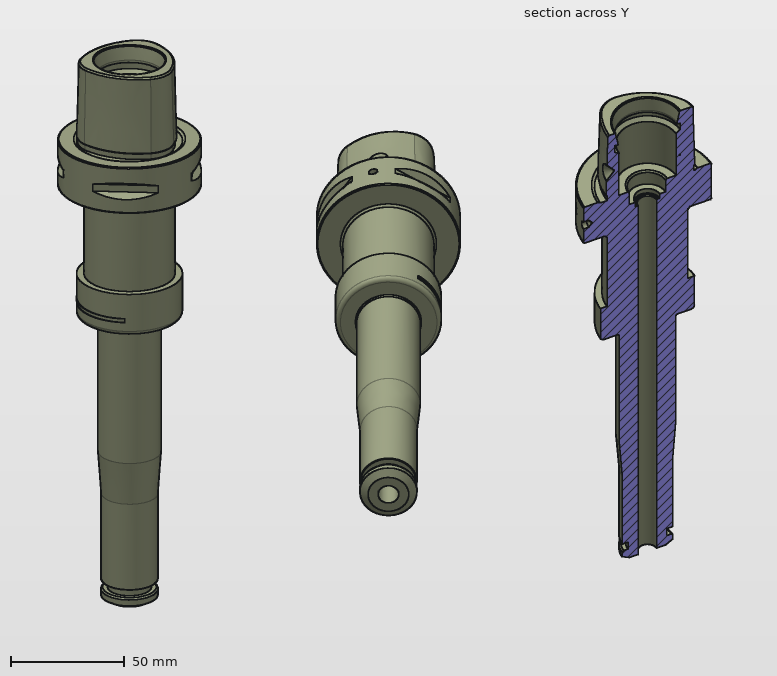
import cadquery as cq
import math

total_length = 258.5
coupling_length = 38.0
flange_thickness = 22.0
flange_top = total_length - coupling_length
flange_bottom = flange_top - flange_thickness
flange_middle = (flange_top + flange_bottom) / 2
collar_top = 156.1
collar_bottom = 136.5
taper_top = 71.0
taper_bottom = 51.0
groove_top = 9.5
groove_bottom = 5.7

flange_diameter = 63.0
neck_diameter = 40.0
collar_diameter = 46.5
shaft_diameter = 28.0
pilot_diameter = 25.0
groove_diameter = 19.5
tip_diameter = 17.8

flange_chamfer = 0.5
shoulder_size = 1.0
collar_fillet = 2.0
collar_boss_diameter = 29.0
collar_boss_height = 0.8
pilot_chamfer = 0.3
bead_chamfer = 0.8
tip_chamfer_height = 2.0

coupling_width = 44.0
lobe_offset = 1.47
flank_radius = 30.8
coupling_slope = 1 / 40
coupling_taper = math.degrees(math.atan(coupling_slope))
coupling_chamfer = 0.8
relief_height = 2.3
relief_depth = 0.5
relief_bevel_angle = 45
seat_outer_diameter = 49.0
seat_inner_diameter = 46.5
seat_depth = 0.8

mouth_diameter = 32.3
mouth_chamfer = 0.5
lead_in_diameter = 31.3
lip_diameter = 29.0
lip_top_depth = 6.5
lip_bottom_depth = 7.8
undercut_diameter = 32.0
undercut_bottom_depth = 11.5
ledge_depth = 13.0
middle_bore_diameter = 28.0
seat_bore_diameter = 19.5
lower_bore_diameter = 17.8
lower_bore_depth = 7.8
coolant_mouth_diameter = 12.0
coolant_step_diameter = 10.0
coolant_step_depth = 2.5
coolant_diameter = 9.0

gripper_middle = 209.0
gripper_length = 28.7
gripper_floor_height = 3.4
gripper_mouth_height = 7.8
gripper_count = 4

dimple_diameter = 9.0
dimple_height = 236.3
flange_hole_diameter = 4.0
flange_hole_depth = 2.5
drill_half_angle = 50.0

recess_angle = 87.0
recess_height = 1.8
recess_depth = 0.3
recess_middle = 143.5


def turned_body():
    """Flange, neck, collar, shaft, taper and grooved tip as one revolved profile."""
    flange_r = flange_diameter / 2
    neck_r = neck_diameter / 2
    collar_r = collar_diameter / 2
    boss_r = collar_boss_diameter / 2
    shaft_r = shaft_diameter / 2
    pilot_r = pilot_diameter / 2
    groove_r = groove_diameter / 2
    fillet_mid = collar_fillet * (1 - math.sqrt(0.5))
    profile = (
        cq.Workplane("XZ")
        .lineTo(tip_diameter / 2, 0)
        .lineTo(pilot_r, tip_chamfer_height)
        .lineTo(pilot_r, groove_bottom - bead_chamfer)
        .lineTo(pilot_r - bead_chamfer, groove_bottom)
        .lineTo(groove_r, groove_bottom)
        .lineTo(groove_r, groove_top)
        .lineTo(pilot_r - pilot_chamfer, groove_top)
        .lineTo(pilot_r, groove_top + pilot_chamfer)
        .lineTo(pilot_r, taper_bottom)
        .lineTo(shaft_r, taper_top)
        .lineTo(shaft_r, collar_bottom - collar_boss_height)
        .lineTo(boss_r, collar_bottom)
        .lineTo(collar_r - collar_fillet, collar_bottom)
        .threePointArc(
            (collar_r - fillet_mid, collar_bottom + fillet_mid),
            (collar_r, collar_bottom + collar_fillet),
        )
        .lineTo(collar_r, collar_top)
        .lineTo(neck_r, collar_top)
        .lineTo(neck_r, flange_bottom - shoulder_size)
        .lineTo(neck_r + shoulder_size, flange_bottom)
        .lineTo(flange_r - flange_chamfer, flange_bottom)
        .lineTo(flange_r, flange_bottom + flange_chamfer)
        .lineTo(flange_r, flange_top - flange_chamfer)
        .lineTo(flange_r - flange_chamfer, flange_top)
        .lineTo(seat_outer_diameter / 2, flange_top)
        .lineTo(seat_inner_diameter / 2, flange_top - seat_depth)
        .lineTo(0, flange_top - seat_depth)
        .close()
    )
    return profile.revolve(360, (0, 0), (0, 1))


def lobed_outline(inset, height):
    """Constant-width outline of three lobe arcs and three flank arcs, with a lobe toward +X."""
    centre_distance = flank_radius - coupling_width / 2 + lobe_offset
    lobe_r = coupling_width - flank_radius - inset
    flank_r = flank_radius - inset

    def on_arc(centre_angle, radius, angle):
        centre = math.radians(centre_angle)
        direction = math.radians(angle)
        return (
            centre_distance * math.cos(centre) + radius * math.cos(direction),
            centre_distance * math.sin(centre) + radius * math.sin(direction),
        )

    outline = cq.Workplane("XY", origin=(0, 0, height)).moveTo(*on_arc(0, lobe_r, -30))
    for lobe in (0, 120, 240):
        outline = outline.threePointArc(on_arc(lobe, lobe_r, lobe), on_arc(lobe, lobe_r, lobe + 30))
        flank = lobe + 60
        outline = outline.threePointArc(
            on_arc(flank + 180, flank_r, flank),
            on_arc(lobe + 120, lobe_r, lobe + 90),
        )
    return outline.close()


def coupling():
    """Tapered three-lobed shank that bevels inward to a slightly narrower foot."""
    foot_bottom = flange_top - seat_depth
    shank_bottom = flange_top + relief_height
    bevel_bottom = shank_bottom - relief_depth
    foot = lobed_outline(relief_depth, foot_bottom).extrude(bevel_bottom - foot_bottom)
    bevel = lobed_outline(relief_depth, bevel_bottom).extrude(relief_depth, taper=-relief_bevel_angle)
    shank = lobed_outline(0, shank_bottom).extrude(total_length - shank_bottom, taper=coupling_taper)
    shank = shank.faces(">Z").chamfer(coupling_chamfer)
    return foot.union(bevel).union(shank)


def bore():
    """Stepped bore running through the whole length."""
    coolant_r = coolant_diameter / 2
    coolant_step_r = coolant_step_diameter / 2
    coolant_mouth_r = coolant_mouth_diameter / 2
    lower_r = lower_bore_diameter / 2
    seat_r = seat_bore_diameter / 2
    middle_r = middle_bore_diameter / 2
    undercut_r = undercut_diameter / 2
    lip_r = lip_diameter / 2
    lower_floor = flange_top - lower_bore_depth
    step_floor = lower_floor - coolant_step_depth
    profile = (
        cq.Workplane("XZ")
        .lineTo(coolant_r, 0)
        .lineTo(coolant_r, step_floor - (coolant_step_r - coolant_r))
        .lineTo(coolant_step_r, step_floor)
        .lineTo(coolant_mouth_r, step_floor)
        .lineTo(coolant_mouth_r, lower_floor)
        .lineTo(lower_r, lower_floor)
        .lineTo(lower_r, flange_top - (seat_r - lower_r))
        .lineTo(seat_r, flange_top)
        .lineTo(middle_r, flange_top)
        .lineTo(middle_r, total_length - ledge_depth)
        .lineTo(undercut_r, total_length - undercut_bottom_depth)
        .lineTo(undercut_r, total_length - lip_bottom_depth)
        .lineTo(lip_r, total_length - lip_bottom_depth)
        .lineTo(lip_r, total_length - lip_top_depth)
        .lineTo(lead_in_diameter / 2, total_length - mouth_chamfer)
        .lineTo(mouth_diameter / 2, total_length)
        .lineTo(0, total_length)
        .close()
    )
    return profile.revolve(360, (0, 0), (0, 1))


def gripper_grooves():
    """Straight grooves with sloping sides, cut across the flange rim on its diagonals."""
    rim_r = flange_diameter / 2
    floor_distance = math.sqrt(rim_r**2 - (gripper_length / 2) ** 2)
    slope = (gripper_mouth_height - gripper_floor_height) / 2 / (rim_r - floor_distance)
    outer_distance = flange_diameter
    outer_half_height = gripper_floor_height / 2 + slope * (outer_distance - floor_distance)
    groove = (
        cq.Workplane("XZ")
        .moveTo(floor_distance, gripper_middle - gripper_floor_height / 2)
        .lineTo(outer_distance, gripper_middle - outer_half_height)
        .lineTo(outer_distance, gripper_middle + outer_half_height)
        .lineTo(floor_distance, gripper_middle + gripper_floor_height / 2)
        .close()
        .extrude(rim_r, both=True)
    )
    spacing = 360 / gripper_count
    grooves = cq.Workplane("XY")
    for index in range(gripper_count):
        grooves = grooves.union(groove.rotate((0, 0, 0), (0, 0, 1), spacing * (index + 0.5)))
    return grooves


def side_drilling(diameter, height, surface_x, depth=0):
    """Conical point below an optional straight hole, entering along +X from the -X side."""
    radius = diameter / 2
    shoulder_x = surface_x + depth
    point_x = shoulder_x + radius / math.tan(math.radians(drill_half_angle))
    clear_x = surface_x - radius
    profile = (
        cq.Workplane("XZ")
        .moveTo(clear_x, height)
        .lineTo(clear_x, height + radius)
        .lineTo(shoulder_x, height + radius)
        .lineTo(point_x, height)
        .close()
    )
    return profile.revolve(360, (0, height), (1, height))


def collar_recess():
    """Shallow arc-shaped recess centred on the -Y side of the collar."""
    collar_r = collar_diameter / 2
    profile = cq.Workplane("XZ").center(collar_r, recess_middle).rect(2 * recess_depth, recess_height)
    arc = profile.revolve(recess_angle, (-collar_r, 0), (-collar_r, 1))
    return arc.rotate((0, 0, 0), (0, 0, 1), -90 - recess_angle / 2)


dimple_rise = dimple_height - flange_top - relief_height
flank_distance = coupling_width / 2 - lobe_offset - coupling_slope * dimple_rise

result = (
    turned_body()
    .union(coupling())
    .cut(bore())
    .cut(gripper_grooves())
    .cut(side_drilling(dimple_diameter, dimple_height, -flank_distance))
    .cut(side_drilling(flange_hole_diameter, flange_middle, -flange_diameter / 2, flange_hole_depth))
    .cut(collar_recess())
)